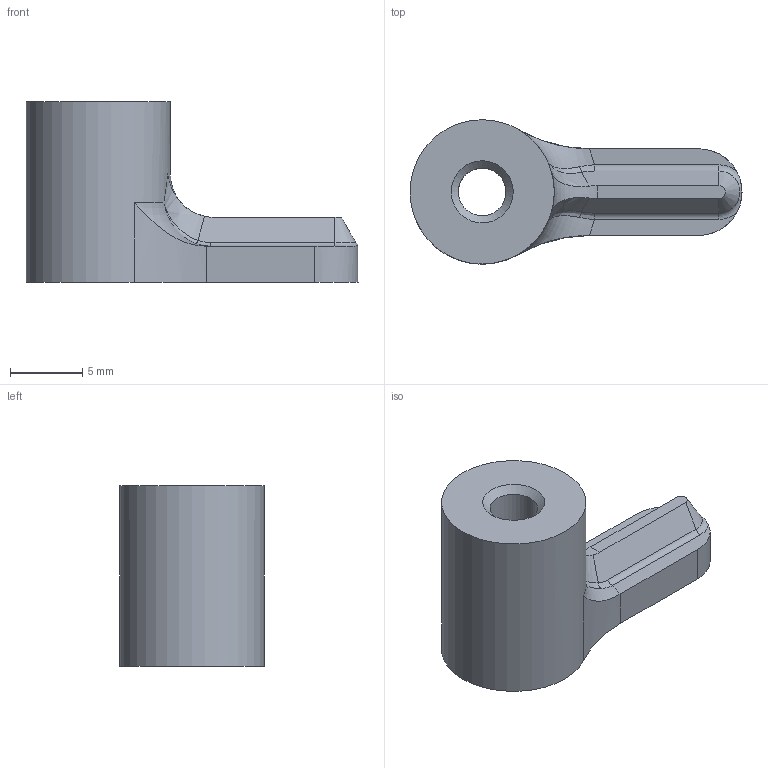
import cadquery as cq
import math

hub_radius = 5.0
hub_height = 12.5
bore_radius = 1.65
bore_chamfer = 0.5

arm_reach = 18.0
arm_half_width = 3.0
arm_height = 2.5
neck_radius = 10.0

ridge_top = 4.5
ridge_root_half_width = 1.6
ridge_taper = 30.0

hub_blend_radius = 3.0
ridge_root_fillet = 0.5
root_fillet_start = 5.02
margin = 0.1
arm_overrun = 4.0


def make_column(radius):
    """Full-height cylinder with its seam on the side away from the arm."""
    return cq.Workplane("XY").circle(radius).extrude(hub_height).rotate((0, 0, 0), (0, 0, 1), 180)


def make_arm_plan(height, reach=arm_reach):
    """Bar whose sides flare in arcs tangent to the hub."""
    flare_y = arm_half_width + neck_radius
    flare_x = math.sqrt((hub_radius + neck_radius) ** 2 - flare_y**2)
    hub_share = hub_radius / (hub_radius + neck_radius)
    touch_x = flare_x * hub_share
    touch_y = flare_y * hub_share
    mid_angle = (math.atan2(-flare_y, -flare_x) - math.pi / 2) / 2
    mid_x = flare_x + neck_radius * math.cos(mid_angle)
    mid_y = flare_y + neck_radius * math.sin(mid_angle)
    tip_x = reach - arm_half_width
    return (
        cq.Workplane("XY")
        .moveTo(0, -touch_y)
        .lineTo(touch_x, -touch_y)
        .threePointArc((mid_x, -mid_y), (flare_x, -arm_half_width))
        .lineTo(tip_x, -arm_half_width)
        .threePointArc((reach, 0), (tip_x, arm_half_width))
        .lineTo(flare_x, arm_half_width)
        .threePointArc((mid_x, mid_y), (touch_x, touch_y))
        .lineTo(0, touch_y)
        .close()
        .extrude(height)
    )


def make_arm(reach=arm_reach):
    """Flared bar whose top sweeps up to the hub in a ring-shaped blend."""
    blend_top = arm_height + hub_blend_radius
    blend_end = hub_radius + hub_blend_radius
    sag = hub_blend_radius * math.sqrt(0.5)
    envelope = (
        cq.Workplane("XZ")
        .lineTo(reach, 0)
        .lineTo(reach, arm_height)
        .lineTo(blend_end, arm_height)
        .threePointArc((blend_end - sag, blend_top - sag), (hub_radius, blend_top))
        .lineTo(0, blend_top)
        .close()
        .revolve(360, (0, 0), (0, 1))
    )
    return make_arm_plan(blend_top, reach).intersect(envelope)


def make_ridge():
    """Tapered rib from the hub axis to the arm tip, sunk to the base plane."""
    sunk_half_width = ridge_root_half_width + arm_height * math.tan(math.radians(ridge_taper))
    tip_x = arm_reach - ridge_root_half_width
    return (
        cq.Workplane("XY")
        .moveTo(0, -sunk_half_width)
        .lineTo(tip_x, -sunk_half_width)
        .threePointArc((tip_x + sunk_half_width, 0), (tip_x, sunk_half_width))
        .lineTo(0, sunk_half_width)
        .close()
        .extrude(ridge_top, taper=ridge_taper)
    )


def make_hub_with_ridge():
    """Hub and ridge, joined by a rolling blend round the ridge sides and top."""
    joined = make_column(hub_radius).union(make_ridge())
    junction_box = cq.selectors.BoxSelector(
        (hub_radius / 2, -arm_half_width, margin),
        (hub_radius + margin, arm_half_width, ridge_top + margin),
    )
    return joined.edges(junction_box).fillet(hub_blend_radius)


def make_sharp_arm_and_ridge(hub_with_ridge, reach, core):
    """Arm and ridge outside the core, their root edges still sharp."""
    plan = make_column(hub_radius).union(make_arm_plan(hub_height, reach))
    ridge = hub_with_ridge.intersect(plan).cut(core)
    return ridge.union(make_arm(reach).cut(core))


def fillet_ridge_root(arm_and_ridge):
    """Round the concave edge where the ridge meets the top of the arm."""
    root_box = cq.selectors.BoxSelector(
        (hub_radius + hub_blend_radius, -ridge_root_half_width - margin, arm_height - margin),
        (arm_reach - arm_half_width, ridge_root_half_width + margin, arm_height + margin),
    )
    return arm_and_ridge.edges(root_box).fillet(ridge_root_fillet)


def make_half_body():
    """The +Y half of the solid body, before boring."""
    block_size = 2 * (hub_radius + arm_reach)
    half_space = cq.Workplane("XY").box(block_size, block_size, block_size, centered=(True, False, True))
    outline = make_column(hub_radius).union(make_arm_plan(hub_height))
    core = make_column(root_fillet_start)
    hub_with_ridge = make_hub_with_ridge()

    outer = make_sharp_arm_and_ridge(hub_with_ridge, arm_reach + arm_overrun, core)
    outer = fillet_ridge_root(outer).intersect(outline).intersect(half_space)

    inner = hub_with_ridge.intersect(outline).union(make_arm())
    inner = inner.intersect(half_space).intersect(core)
    return outer.union(inner)


def make_bore():
    """Through bore with a conical chamfer at its upper mouth."""
    mouth_radius = bore_radius + bore_chamfer
    return (
        cq.Workplane("XZ")
        .lineTo(bore_radius, 0)
        .lineTo(bore_radius, hub_height - bore_chamfer)
        .lineTo(mouth_radius, hub_height)
        .lineTo(0, hub_height)
        .close()
        .revolve(360, (0, 0), (0, 1))
    )


half_body = make_half_body()
body = half_body.union(half_body.mirror("XZ"))
result = body.cut(make_bore())